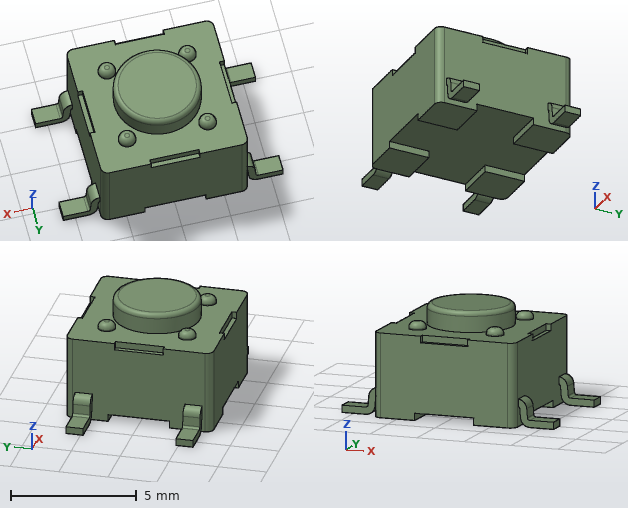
import cadquery as cq
import math

body_side = 6.0
body_height = 3.45
corner_radius = 0.3
cover_thickness = 0.27
cover_notch_length = 2.0
cover_notch_depth = 0.2

channel_width = 2.5
channel_height = 0.3

overall_height = 4.3
button_diameter = 3.5
button_round = 0.2

rivet_diameter = 0.7
rivet_flat_diameter = 0.2
rivet_height = 0.3
rivet_offset = 1.65

overall_length = 9.0
lead_width = 0.7
lead_offset = 2.25
lead_thickness = 0.3
foot_length = 1.01
leg_length = 0.38
leg_lean = math.radians(5)
bend_inner_radius = 0.1
bend_outer_radius = bend_inner_radius + lead_thickness
root_length = 0.09


def make_housing():
    housing = (
        cq.Workplane("XY")
        .rect(body_side, body_side)
        .extrude(body_height)
        .edges("|Z")
        .fillet(corner_radius)
    )
    channel = cq.Workplane("XY").rect(body_side, channel_width).extrude(channel_height)
    notch = (
        cq.Workplane("XY", origin=(0, 0, body_height - cover_thickness))
        .center(body_side / 2, 0)
        .rect(2 * cover_notch_depth, cover_notch_length)
        .extrude(cover_thickness)
    )
    for angle in (0, 90):
        housing = housing.cut(channel.rotate((0, 0, 0), (0, 0, 1), angle))
    for angle in (0, 90, 180, 270):
        housing = housing.cut(notch.rotate((0, 0, 0), (0, 0, 1), angle))
    return housing


def make_button():
    return (
        cq.Workplane("XY", origin=(0, 0, body_height))
        .circle(button_diameter / 2)
        .extrude(overall_height - body_height)
        .faces(">Z")
        .edges()
        .fillet(button_round)
    )


def make_rivets():
    rivet_round = (rivet_diameter - rivet_flat_diameter) / 2
    return (
        cq.Workplane("XY", origin=(0, 0, body_height))
        .rect(2 * rivet_offset, 2 * rivet_offset, forConstruction=True)
        .vertices()
        .circle(rivet_diameter / 2)
        .extrude(rivet_height)
        .faces(">Z")
        .edges()
        .fillet(rivet_round)
    )


def point_on_circle(center, radius, angle):
    return (center[0] + radius * math.cos(angle), center[1] + radius * math.sin(angle))


def make_lead():
    """One lead on the -X side, centred on the XZ plane: foot, bend, leaning leg, bend, root."""
    foot_end = -overall_length / 2
    lower_center = (foot_end + foot_length, bend_outer_radius)

    lower_start = -math.pi / 2
    lower_end = -leg_lean
    lower_middle = (lower_start + lower_end) / 2
    upper_start = math.pi + lower_end
    upper_end = math.pi + lower_start
    upper_middle = math.pi + lower_middle

    leg_top = point_on_circle(lower_center, leg_length, math.pi / 2 - leg_lean)
    center_gap = bend_inner_radius + bend_outer_radius
    upper_center = point_on_circle(leg_top, center_gap, lower_end)
    root_end = upper_center[0] + root_length

    profile = (
        cq.Workplane("XZ")
        .moveTo(foot_end, 0)
        .lineTo(lower_center[0], 0)
        .threePointArc(
            point_on_circle(lower_center, bend_outer_radius, lower_middle),
            point_on_circle(lower_center, bend_outer_radius, lower_end),
        )
        .lineTo(*point_on_circle(upper_center, bend_inner_radius, upper_start))
        .threePointArc(
            point_on_circle(upper_center, bend_inner_radius, upper_middle),
            point_on_circle(upper_center, bend_inner_radius, upper_end),
        )
        .lineTo(root_end, upper_center[1] + bend_inner_radius)
        .lineTo(root_end, upper_center[1] + bend_outer_radius)
        .lineTo(upper_center[0], upper_center[1] + bend_outer_radius)
        .threePointArc(
            point_on_circle(upper_center, bend_outer_radius, upper_middle),
            point_on_circle(upper_center, bend_outer_radius, upper_start),
        )
        .lineTo(*point_on_circle(lower_center, bend_inner_radius, lower_end))
        .threePointArc(
            point_on_circle(lower_center, bend_inner_radius, lower_middle),
            point_on_circle(lower_center, bend_inner_radius, lower_start),
        )
        .lineTo(foot_end, lead_thickness)
        .close()
    )
    return profile.extrude(lead_width / 2, both=True)


result = make_housing().union(make_button()).union(make_rivets())
lead = make_lead()
for side_lead in (lead, lead.mirror("YZ")):
    for y in (-lead_offset, lead_offset):
        result = result.union(side_lead.translate((0, y, 0)))